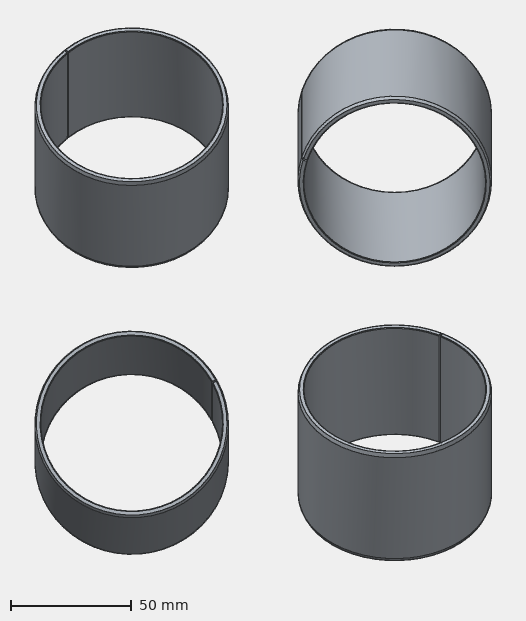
import cadquery as cq
import math

outer_diameter = 80.0
wall = 2.5
length = 60.0
slit_width = 0.7

outer_chamfer_height = 1.8
outer_chamfer_angle = 20.0
inner_chamfer = 0.3

outer_radius = outer_diameter / 2
inner_radius = outer_radius - wall
half_length = length / 2
outer_chamfer_depth = outer_chamfer_height * math.tan(math.radians(outer_chamfer_angle))

slit_angle = math.degrees(slit_width / outer_radius)


def make_split_sleeve():
    """Revolve the wall section from the -X side, stopping short of a full turn to leave the slit."""
    upper_corners = [
        (-outer_radius, half_length - outer_chamfer_height),
        (-outer_radius + outer_chamfer_depth, half_length),
        (-inner_radius - inner_chamfer, half_length),
        (-inner_radius, half_length - inner_chamfer),
    ]
    lower_corners = [(x, -z) for x, z in reversed(upper_corners)]
    section = cq.Workplane("XZ").polyline(upper_corners + lower_corners).close()
    return section.revolve(360 - slit_angle, (0, 0), (0, 1))


result = make_split_sleeve()